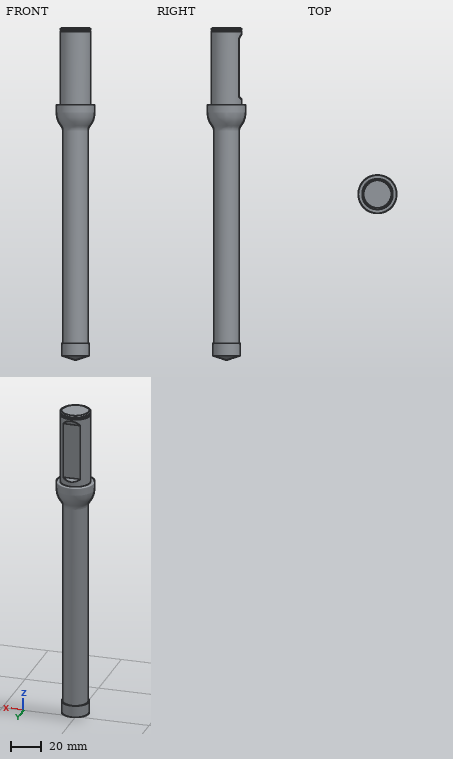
import cadquery as cq

TOTAL_LENGTH = 216.0
TOP_Z = TOTAL_LENGTH / 2
TIP_Z = -TOTAL_LENGTH / 2

SHANK_DIAMETER = 20.0
SHANK_LENGTH = 50.0
RIM_WIDTH = 1.0
RIM_HEIGHT = 0.9
GROOVE_TOP_DEPTH = 1.0
GROOVE_WIDTH = 1.5
GROOVE_DEPTH = 0.55

FLAT_DISTANCE = 8.2
FLAT_TOP_DEPTH = 7.0
FLAT_BOTTOM_DEPTH = 44.7
UPPER_SLOPE_LENGTH = 3.2
LOWER_SLOPE_LENGTH = 2.0

COLLAR_DIAMETER = 25.0
COLLAR_HEIGHT = 5.2
COLLAR_ROUND = 0.55
TAPER_HEIGHT = 11.7
TAPER_CONVEX_HEIGHT = 8.5

BODY_DIAMETER = 16.6
HEAD_DIAMETER = 18.0
HEAD_HEIGHT = 8.0
POINT_HEIGHT = 3.0

SHANK_BOTTOM_Z = TOP_Z - SHANK_LENGTH
COLLAR_BOTTOM_Z = SHANK_BOTTOM_Z - COLLAR_HEIGHT
TAPER_BOTTOM_Z = COLLAR_BOTTOM_Z - TAPER_HEIGHT
HEAD_BOTTOM_Z = TIP_Z + POINT_HEIGHT
HEAD_TOP_Z = HEAD_BOTTOM_Z + HEAD_HEIGHT


def turned(profile):
    """Revolve a closed radius-height profile about the Z axis."""
    return profile.close().revolve(360, (0, 0, 0), (0, 1, 0))


def flat_cutter():
    """Prism that cuts the shank flat and its sloping ends."""
    shank_radius = SHANK_DIAMETER / 2
    upper_z = TOP_Z - FLAT_TOP_DEPTH
    lower_z = TOP_Z - FLAT_BOTTOM_DEPTH
    return (
        cq.Workplane("YZ")
        .moveTo(FLAT_DISTANCE, lower_z)
        .lineTo(FLAT_DISTANCE, upper_z)
        .lineTo(shank_radius, upper_z + UPPER_SLOPE_LENGTH)
        .lineTo(shank_radius, lower_z - LOWER_SLOPE_LENGTH)
        .close()
        .extrude(shank_radius, both=True)
    )


def make_holder():
    """Shank, collar, taper and long body in one turned piece with a flat."""
    shank_radius = SHANK_DIAMETER / 2
    collar_radius = COLLAR_DIAMETER / 2
    body_radius = BODY_DIAMETER / 2
    groove_top_z = TOP_Z - GROOVE_TOP_DEPTH
    join_radius = collar_radius - (collar_radius - body_radius) * TAPER_CONVEX_HEIGHT / TAPER_HEIGHT
    join_z = COLLAR_BOTTOM_Z - TAPER_CONVEX_HEIGHT
    profile = (
        cq.Workplane("XZ")
        .moveTo(0, TOP_Z)
        .lineTo(shank_radius - RIM_WIDTH, TOP_Z)
        .lineTo(shank_radius, TOP_Z - RIM_HEIGHT)
        .lineTo(shank_radius, groove_top_z)
        .lineTo(shank_radius - GROOVE_DEPTH, groove_top_z - GROOVE_WIDTH / 2)
        .lineTo(shank_radius, groove_top_z - GROOVE_WIDTH)
        .lineTo(shank_radius, SHANK_BOTTOM_Z)
        .lineTo(collar_radius - COLLAR_ROUND, SHANK_BOTTOM_Z)
        .tangentArcPoint((collar_radius, SHANK_BOTTOM_Z - COLLAR_ROUND), relative=False)
        .lineTo(collar_radius, COLLAR_BOTTOM_Z)
        .tangentArcPoint((join_radius, join_z), relative=False)
        .tangentArcPoint((body_radius, TAPER_BOTTOM_Z), relative=False)
        .lineTo(body_radius, HEAD_TOP_Z)
        .lineTo(0, HEAD_TOP_Z)
    )
    return turned(profile).cut(flat_cutter())


def make_head():
    """Cylindrical cutting head with a conical point."""
    head_radius = HEAD_DIAMETER / 2
    profile = (
        cq.Workplane("XZ")
        .moveTo(0, HEAD_TOP_Z)
        .lineTo(head_radius, HEAD_TOP_Z)
        .lineTo(head_radius, HEAD_BOTTOM_Z)
        .lineTo(0, TIP_Z)
    )
    return turned(profile)


holder = make_holder()
head = make_head()
result = cq.Compound.makeCompound([holder.val(), head.val()])